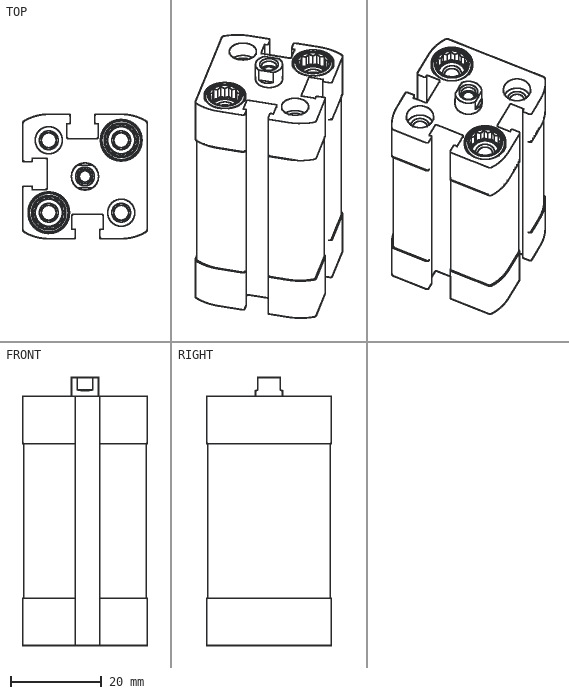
import cadquery as cq
import math

total_height = 59.2
body_height = 55.05
cap_height = 10.5

cap_width = 27.5
cap_half_width = cap_width / 2
barrel_inset = 0.25
barrel_half_width = cap_half_width - barrel_inset
cap_arc_start = 8.0
barrel_arc_start = cap_arc_start - barrel_inset
corner_arc_radius = 10.65
corner_fillet = 0.8

slot_offset = 0.56
slot_mouth_half = 2.65
slot_wide_half = 3.45
slot_lip_height = 11.6
slot_floor_height = 8.35
slot_floor_fillet = 0.3
slot_lip_fillet = 0.4
slot_inner_lip_fillet = 0.3
slots = [(0, -slot_offset), (90, slot_offset), (180, -slot_offset)]

hole_spacing = 8.0
through_diameter = 3.25
hole_chamfer_diameter = 4.15
counterbore_diameter = 6.0
counterbore_depth = 3.5

groove_outer_diameter = 9.2
collar_base_diameter = 8.5
collar_crest_diameter = 7.6
groove_depth = (collar_base_diameter - collar_crest_diameter) / 2
socket_point_count = 12
socket_outer_radius = 3.45
socket_inner_radius = socket_outer_radius * math.cos(math.radians(30)) / math.cos(math.radians(15))
socket_depth = 3.0
socket_chamfer_diameter = 7.15
socket_chamfer_depth = (socket_chamfer_diameter - counterbore_diameter) / 2

rod_diameter = 6.0
rod_insertion = cap_height
flat_width = 5.0
flat_length = 2.8
flat_runout = 0.2
rod_chamfer_diameter = 4.15
rod_bore_diameter = 3.3
rod_bore_depth = 1.65
rod_drill_diameter = 2.5
rod_drill_depth = 5.9
drill_tip_half_angle = math.radians(59)


def corner_rise(half_width, arc_start):
    """Height at which the large corner arc meets the straight side."""
    run = half_width - arc_start
    return half_width - corner_arc_radius + math.sqrt(corner_arc_radius**2 - run**2)


def section_block(half_width, arc_start, bottom, height):
    """Prism with flat sides and large arcs running down to its four filleted corners."""
    side = corner_rise(half_width, arc_start)
    return (
        cq.Workplane("XY", origin=(0, 0, bottom))
        .moveTo(-arc_start, half_width)
        .lineTo(arc_start, half_width)
        .radiusArc((half_width, side), corner_arc_radius)
        .lineTo(half_width, -side)
        .radiusArc((arc_start, -half_width), corner_arc_radius)
        .lineTo(-arc_start, -half_width)
        .radiusArc((-half_width, -side), corner_arc_radius)
        .lineTo(-half_width, side)
        .radiusArc((-arc_start, half_width), corner_arc_radius)
        .close()
        .extrude(height)
        .edges("|Z and (<X or >X)")
        .fillet(corner_fillet)
    )


def slot_cutter(half_width, bottom, height):
    """T-slot opening toward +Y, with a rounded floor and rounded lips at the mouth."""
    return (
        cq.Workplane("XY", origin=(0, 0, bottom))
        .moveTo(0, slot_floor_height)
        .lineTo(slot_wide_half - slot_floor_fillet, slot_floor_height)
        .radiusArc((slot_wide_half, slot_floor_height + slot_floor_fillet), -slot_floor_fillet)
        .lineTo(slot_wide_half, slot_lip_height)
        .lineTo(slot_mouth_half + slot_inner_lip_fillet, slot_lip_height)
        .radiusArc((slot_mouth_half, slot_lip_height + slot_inner_lip_fillet), slot_inner_lip_fillet)
        .lineTo(slot_mouth_half, half_width - slot_lip_fillet)
        .radiusArc((slot_mouth_half + slot_lip_fillet, half_width), slot_lip_fillet)
        .lineTo(0, half_width)
        .mirrorY()
        .extrude(height)
    )


def body_section(half_width, arc_start, bottom, height):
    """One length of the housing with its three T-slots."""
    section = section_block(half_width, arc_start, bottom, height)
    cutter = slot_cutter(half_width, bottom, height)
    for turn, shift in slots:
        section = section.cut(cutter.translate((shift, 0, 0)).rotate((0, 0, 0), (0, 0, 1), turn))
    return section


def cylinder(diameter, top, depth):
    """Cylinder on the Z axis reaching down from the given height."""
    return cq.Workplane("XY", origin=(0, 0, top - depth)).circle(diameter / 2).extrude(depth)


def cone(top_diameter, bottom_diameter, top, depth):
    """Cone on the Z axis reaching down from the given height."""
    return cq.Workplane(
        cq.Solid.makeCone(bottom_diameter / 2, top_diameter / 2, depth, pnt=cq.Vector(0, 0, top - depth))
    )


def mounting_hole_cutter():
    """Through hole with a chamfered edge at the floor of its counterbore."""
    floor = body_height - counterbore_depth
    chamfer_depth = (hole_chamfer_diameter - through_diameter) / 2
    return (
        cylinder(counterbore_diameter, body_height, counterbore_depth)
        .union(cone(hole_chamfer_diameter, through_diameter, floor, chamfer_depth))
        .union(cylinder(through_diameter, body_height, body_height))
    )


def collar_cutter():
    """Bevelled groove around a collar, and the twelve-point socket inside it."""
    groove = cylinder(groove_outer_diameter, body_height, groove_depth).cut(
        cone(collar_crest_diameter, collar_base_diameter, body_height, groove_depth)
    )
    star = []
    for corner in range(2 * socket_point_count):
        radius = socket_inner_radius if corner % 2 else socket_outer_radius
        angle = math.pi * corner / socket_point_count
        star.append((radius * math.cos(angle), radius * math.sin(angle)))
    socket = (
        cq.Workplane("XY", origin=(0, 0, body_height - socket_depth))
        .polyline(star)
        .close()
        .extrude(socket_depth)
    )
    chamfer = cone(socket_chamfer_diameter, counterbore_diameter, body_height, socket_chamfer_depth)
    return groove, socket.union(chamfer)


def make_housing():
    barrel_height = body_height - 2 * cap_height
    housing = (
        body_section(cap_half_width, cap_arc_start, 0, cap_height)
        .union(body_section(barrel_half_width, barrel_arc_start, cap_height, barrel_height))
        .union(body_section(cap_half_width, cap_arc_start, body_height - cap_height, cap_height))
    )
    groove, socket = collar_cutter()
    for x_side in (-1, 1):
        for y_side in (-1, 1):
            place = (x_side * hole_spacing, y_side * hole_spacing, 0)
            housing = housing.cut(mounting_hole_cutter().translate(place))
            if x_side == y_side:
                housing = housing.cut(groove.translate(place)).cut(socket.translate(place))
    return housing.cut(cylinder(rod_diameter, body_height, rod_insertion))


def flat_cutter():
    """Wrench flat on the +Y side of the rod end, with a sloping runout at its foot."""
    foot = total_height - flat_length
    rod_radius = rod_diameter / 2
    return (
        cq.Workplane("YZ")
        .moveTo(flat_width / 2, total_height)
        .lineTo(flat_width / 2, foot)
        .lineTo(rod_radius, foot - flat_runout)
        .lineTo(rod_radius, total_height)
        .close()
        .extrude(rod_radius, both=True)
    )


def rod_end_hole_cutter():
    """Chamfered bore that steps down to a drilled hole with a pointed bottom."""
    entry_depth = (rod_chamfer_diameter - rod_bore_diameter) / 2
    tip_depth = rod_drill_diameter / 2 / math.tan(drill_tip_half_angle)
    return (
        cylinder(rod_drill_diameter, total_height, rod_drill_depth)
        .union(cone(rod_drill_diameter, 0, total_height - rod_drill_depth, tip_depth))
        .union(cylinder(rod_bore_diameter, total_height, rod_bore_depth))
        .union(cone(rod_chamfer_diameter, rod_bore_diameter, total_height, entry_depth))
    )


def make_piston_rod():
    rod = cylinder(rod_diameter, total_height, total_height - body_height + rod_insertion)
    for turn in (0, 180):
        rod = rod.cut(flat_cutter().rotate((0, 0, 0), (0, 0, 1), turn))
    return rod.cut(rod_end_hole_cutter())


housing = make_housing()
piston_rod = make_piston_rod()
result = cq.Compound.makeCompound([housing.val(), piston_rod.val()])